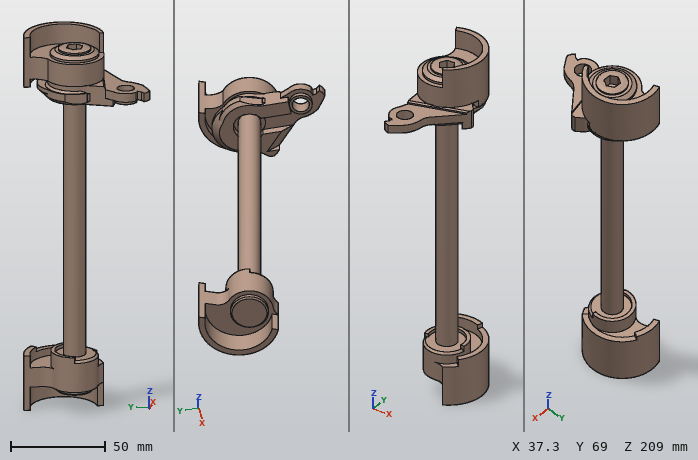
import cadquery as cq
import math


WALL_X = -2.3
WALL_Y = 5.2
WALL_OUTER_R = 21.3
WALL_INNER_R = 18.0
WALL_END_DEG = 111.0
TANGENT_HUB_R = WALL_OUTER_R - math.hypot(WALL_X, WALL_Y)
WALL_START_DEG = math.degrees(math.atan2(-WALL_Y, -WALL_X))

AXLE_D = 12.0
AXLE_HEAD_D = 20.0
AXLE_HEAD_HEIGHT = 2.7
AXLE_HEAD_CHAMFER = 0.8
AXLE_TOP_Z = 188.0

LOWER_HUB_R = 12.5
LOWER_HUB_START_DEG = 130.0
LOWER_HUB_END_DEG = 272.0
LOWER_TIP_LENGTH = 9.0
LOWER_HUB_BOTTOM_Z = 13.0
LOWER_HUB_TOP_Z = 23.8
LOWER_DISC_TOP_Z = 30.5
LOWER_DISC_CHAMFER = 1.3
LOWER_RIM_TOP_Z = 32.4
LOWER_RIM_INNER_D = 20.7
LOWER_RIM_FRONT_Y = -2.5
LOWER_WALL_LOW_TOP_Z = 28.0
LOWER_WALL_HIGH_TOP_Z = 30.5
LOWER_WALL_STEP_DEG = 65.0
LOWER_WALL_SHELF_DEG = -43.0

UPPER_TOP_Z = 209.0
UPPER_HUB_R = TANGENT_HUB_R
UPPER_HUB_START_DEG = 127.0
UPPER_TIP_LENGTH = WALL_OUTER_R - WALL_INNER_R
UPPER_HUB_BOTTOM_Z = 185.5
UPPER_HUB_TOP_Z = 198.0
UPPER_SKIRT_BOTTOM_Z = 181.2
UPPER_SKIRT_START_DEG = -10.0
UPPER_SPOTFACE_R = 13.4

BOLT_FLANGE_R = 13.0
BOLT_FLANGE_EDGE_HEIGHT = 1.3
BOLT_CONE_D = 20.7
BOLT_CONE_HEIGHT = 3.0
BOLT_STEP_R = 8.5
BOLT_STEP_HEIGHT = 3.8
BOLT_CROWN_D = 12.0
BOLT_CROWN_HEIGHT = 4.4
BOLT_SHANK_D = 17.0
HEX_CORNER_D = 9.0
HEX_DEPTH = 6.3

HANGER_TOP_Z = UPPER_HUB_BOTTOM_Z
HANGER_BOTTOM_Z = 175.0
HANGER_FLANGE_TOP_Z = UPPER_SKIRT_BOTTOM_Z
HANGER_FLANGE_R = 16.3
HANGER_FLANGE_CHAMFER = 2.0
HANGER_NECK_R = 14.2
HANGER_NECK_FLARE = 1.3
LOBE_X = 3.0
LOBE_Y = 5.0
LOBE_R = 15.5
LOBE_CHAMFER = 4.0
TAIL_TOP_Z = 184.0
TAIL_BOTTOM_Z = 179.1
TAIL_STEP_BEVEL = 0.8
EYE_X = -7.7
EYE_Y = -29.0
EYE_R = 8.5
EYE_START_DEG = 142.0
EYE_END_DEG = 230.0
EYE_HOLE_D = 9.0
EYE_BOSS_D = 12.1
EYE_BOSS_BOTTOM_Z = 176.8
TAIL_LEFT = (-12.3, -19.0)
HOOK_OUTLINE = [
    (-11.0, -36.2),
    (-11.7, -38.2),
    (-13.4, -40.1),
    (-12.0, -41.4),
    (-9.6, -42.5),
    (-7.3, -41.2),
    (-1.7, -37.2),
]
TAIL_BULGE = (0.8, -33.2)
TAIL_WAIST = (2.0, -29.3)
THROAT_MIDDLE = (2.7, -26.5)
TAIL_THROAT = (4.5, -23.8)
TAB_CORNER = (19.5, -11.0)
TAB_SIDE_LOW = (21.1, -9.2)
TAB_SIDE_HIGH = (21.1, -7.0)
TAB_INNER = (17.8, -3.0)
NECK_RIGHT = (13.4, 0.0)
NECK_LEFT = (-13.4, -3.1)
SIDE_BEND = (-12.3, -9.5)
SIDE_TOP = (-16.0, 1.9)
SLOT_LEFT_X = -4.4
SLOT_RIGHT_X = AXLE_D / 2
LEFT_PAD_Y = -23.2
UNDERCUT_RUN = 6.7
UNDERCUT_END_X = 17.5


def cylinder(radius, bottom, top, x=0.0, y=0.0):
    """Upright cylinder between two heights."""
    return cq.Workplane("XY", origin=(x, y, bottom)).circle(radius).extrude(top - bottom)


def prism(outline, bottom, top):
    """Upright prism of a straight-sided outline between two heights."""
    return cq.Workplane("XY", origin=(0, 0, bottom)).polyline(outline).close().extrude(top - bottom)


def polar(radius, degrees, x=0.0, y=0.0):
    """Point at a radius and angle about (x, y)."""
    angle = math.radians(degrees)
    return (x + radius * math.cos(angle), y + radius * math.sin(angle))


def wall_point(radius, degrees):
    return polar(radius, degrees, WALL_X, WALL_Y)


def wall_sector(start_deg, end_deg, bottom, top):
    """Stretch of the arc-shaped wall between two angles and two heights."""
    middle_deg = (start_deg + end_deg) / 2
    return (
        cq.Workplane("XY", origin=(0, 0, bottom))
        .moveTo(*wall_point(WALL_OUTER_R, start_deg))
        .threePointArc(wall_point(WALL_OUTER_R, middle_deg), wall_point(WALL_OUTER_R, end_deg))
        .lineTo(*wall_point(WALL_INNER_R, end_deg))
        .threePointArc(wall_point(WALL_INNER_R, middle_deg), wall_point(WALL_INNER_R, start_deg))
        .close()
        .extrude(top - bottom)
    )


def dropout_floor(hub_r, hub_start_deg, hub_end_deg, tip_length, bottom, top):
    """Floor that fills the wall and wraps the hub: wall arc, flat end, concave blend, hub arc."""
    wall_start = wall_point(WALL_OUTER_R, WALL_START_DEG)
    wall_middle = wall_point(WALL_OUTER_R, (WALL_START_DEG + WALL_END_DEG) / 2)
    wall_end = wall_point(WALL_OUTER_R, WALL_END_DEG)
    flat_end = wall_point(WALL_OUTER_R - tip_length, WALL_END_DEG)
    hub_middle_deg = (hub_start_deg + hub_end_deg) / 2
    outline = (
        cq.Workplane("XY", origin=(0, 0, bottom))
        .moveTo(*wall_start)
        .threePointArc(wall_middle, wall_end)
        .lineTo(*flat_end)
        .tangentArcPoint(polar(hub_r, hub_start_deg), relative=False)
        .threePointArc(polar(hub_r, hub_middle_deg), polar(hub_r, hub_end_deg))
    )
    if hub_r < TANGENT_HUB_R:
        outline = outline.tangentArcPoint(wall_start, relative=False)
    return outline.close().extrude(top - bottom)


def make_lower_dropout():
    body = dropout_floor(LOWER_HUB_R, LOWER_HUB_START_DEG, LOWER_HUB_END_DEG, LOWER_TIP_LENGTH,
                         LOWER_HUB_BOTTOM_Z, LOWER_HUB_TOP_Z)
    body = body.union(wall_sector(WALL_START_DEG, WALL_END_DEG, 0.0, LOWER_HUB_TOP_Z))

    low = wall_sector(LOWER_WALL_SHELF_DEG, WALL_END_DEG, LOWER_HUB_TOP_Z, LOWER_WALL_LOW_TOP_Z)
    high = wall_sector(LOWER_WALL_STEP_DEG, WALL_END_DEG, LOWER_HUB_TOP_Z, LOWER_WALL_HIGH_TOP_Z)
    body = body.union(low).union(high)

    disc = cylinder(LOWER_HUB_R, LOWER_HUB_TOP_Z, LOWER_DISC_TOP_Z).faces(">Z").chamfer(LOWER_DISC_CHAMFER)
    rim = cylinder(LOWER_HUB_R, LOWER_HUB_TOP_Z, LOWER_RIM_TOP_Z)
    rim = rim.cut(cylinder(LOWER_RIM_INNER_D / 2, LOWER_DISC_TOP_Z, LOWER_RIM_TOP_Z))
    front_half = prism([(-LOWER_HUB_R, LOWER_RIM_FRONT_Y), (-LOWER_HUB_R, -LOWER_HUB_R),
                        (LOWER_HUB_R, -LOWER_HUB_R), (LOWER_HUB_R, LOWER_RIM_FRONT_Y)],
                       LOWER_HUB_TOP_Z, LOWER_RIM_TOP_Z)
    body = body.union(disc).union(rim.cut(front_half))
    return body.cut(cylinder(AXLE_D / 2, 0.0, LOWER_RIM_TOP_Z))


def make_upper_dropout():
    body = dropout_floor(UPPER_HUB_R, UPPER_HUB_START_DEG, WALL_START_DEG + 360.0, UPPER_TIP_LENGTH,
                         UPPER_HUB_BOTTOM_Z, UPPER_HUB_TOP_Z)
    body = body.union(wall_sector(WALL_START_DEG, WALL_END_DEG, UPPER_HUB_BOTTOM_Z, UPPER_TOP_Z))
    skirt = wall_sector(UPPER_SKIRT_START_DEG, WALL_END_DEG, UPPER_SKIRT_BOTTOM_Z, UPPER_HUB_BOTTOM_Z)
    body = body.union(skirt)
    body = body.cut(cylinder(UPPER_SPOTFACE_R, UPPER_HUB_TOP_Z, UPPER_TOP_Z))
    return body.cut(cylinder(BOLT_SHANK_D / 2, UPPER_HUB_BOTTOM_Z, UPPER_HUB_TOP_Z))


def make_axle():
    head_bottom = LOWER_HUB_BOTTOM_Z - AXLE_HEAD_HEIGHT
    head = cylinder(AXLE_HEAD_D / 2, head_bottom, LOWER_HUB_BOTTOM_Z).faces("<Z").chamfer(AXLE_HEAD_CHAMFER)
    return head.union(cylinder(AXLE_D / 2, head_bottom, AXLE_TOP_Z))


def make_hanger_bolt():
    seat = UPPER_HUB_TOP_Z
    crown = seat + BOLT_CROWN_HEIGHT
    profile = [
        (0, TAIL_BOTTOM_Z),
        (BOLT_SHANK_D / 2, TAIL_BOTTOM_Z),
        (BOLT_SHANK_D / 2, seat),
        (BOLT_FLANGE_R, seat),
        (BOLT_FLANGE_R, seat + BOLT_FLANGE_EDGE_HEIGHT),
        (BOLT_CONE_D / 2, seat + BOLT_CONE_HEIGHT),
        (BOLT_STEP_R, seat + BOLT_CONE_HEIGHT),
        (BOLT_STEP_R, seat + BOLT_STEP_HEIGHT),
        (BOLT_CROWN_D / 2, crown),
        (0, crown),
    ]
    bolt = cq.Workplane("XZ").polyline(profile).close().revolve(360, (0, 0, 0), (0, 1, 0))
    socket = cq.Workplane("XY", origin=(0, 0, crown)).polygon(6, HEX_CORNER_D).extrude(-HEX_DEPTH)
    return bolt.cut(socket).cut(cylinder(AXLE_D / 2, TAIL_BOTTOM_Z, AXLE_TOP_Z))


def make_hanger_flange():
    """Round flange under the dropout with a bevelled lobe on the +Y side, and the neck above it."""
    flange = cylinder(HANGER_FLANGE_R, HANGER_BOTTOM_Z, HANGER_FLANGE_TOP_Z)
    flange = flange.faces("<Z").chamfer(HANGER_FLANGE_CHAMFER)
    trim_x = -HANGER_FLANGE_R
    side_trim = prism([SIDE_TOP, SIDE_BEND, (trim_x, SIDE_BEND[1]), (trim_x, SIDE_TOP[1])],
                      HANGER_BOTTOM_Z, HANGER_FLANGE_TOP_Z)
    flange = flange.cut(side_trim)
    lobe = cylinder(LOBE_R, HANGER_BOTTOM_Z, HANGER_FLANGE_TOP_Z, LOBE_X, LOBE_Y)
    lobe = lobe.faces("<Z").chamfer(LOBE_CHAMFER)
    neck = cylinder(HANGER_NECK_R, HANGER_FLANGE_TOP_Z, HANGER_TOP_Z)
    flare = cq.Workplane("XY").add(cq.Solid.makeCone(
        HANGER_NECK_R + HANGER_NECK_FLARE, HANGER_NECK_R, HANGER_NECK_FLARE,
        pnt=cq.Vector(0, 0, HANGER_FLANGE_TOP_Z)))
    return flange.union(lobe).union(neck).union(flare)


def tail_edge_y(x):
    """Y of the straight tail edge between the throat and the tab."""
    slope = (TAB_CORNER[1] - TAIL_THROAT[1]) / (TAB_CORNER[0] - TAIL_THROAT[0])
    return TAIL_THROAT[1] + slope * (x - TAIL_THROAT[0])


def make_undercut():
    """Wedge along the straight tail edge that slopes the underside back towards the axle."""
    start_y = tail_edge_y(SLOT_RIGHT_X)
    section = cq.Wire.makePolygon([
        cq.Vector(SLOT_RIGHT_X, start_y, TAIL_BOTTOM_Z),
        cq.Vector(SLOT_RIGHT_X, start_y + UNDERCUT_RUN, HANGER_BOTTOM_Z),
        cq.Vector(SLOT_RIGHT_X, start_y, HANGER_BOTTOM_Z),
    ], close=True)
    along_edge = cq.Vector(UNDERCUT_END_X - SLOT_RIGHT_X, tail_edge_y(UNDERCUT_END_X) - start_y, 0)
    return cq.Workplane("XY").add(cq.Solid.extrudeLinear(section, [], along_edge))


def make_hanger_body():
    """Full-height block between the flange and the tail, with the tab on the +X side."""
    tab = [TAB_CORNER, TAB_SIDE_LOW, TAB_SIDE_HIGH, TAB_INNER]
    step_middle = ((TAIL_LEFT[0] + TAB_CORNER[0]) / 2, (TAIL_LEFT[1] + TAB_CORNER[1]) / 2, HANGER_TOP_Z)
    upper = prism([SIDE_BEND, TAIL_LEFT] + tab + [NECK_RIGHT, NECK_LEFT], TAIL_BOTTOM_Z, HANGER_TOP_Z)
    upper = upper.edges(cq.selectors.NearestToPointSelector(step_middle)).chamfer(TAIL_STEP_BEVEL)

    left_pad = [NECK_LEFT, SIDE_BEND, (SIDE_BEND[0], LEFT_PAD_Y), (SLOT_LEFT_X, LEFT_PAD_Y),
                (SLOT_LEFT_X, NECK_LEFT[1])]
    right_pad = [(SLOT_RIGHT_X, tail_edge_y(SLOT_RIGHT_X))] + tab
    right_pad += [NECK_RIGHT, (SLOT_RIGHT_X, NECK_RIGHT[1])]
    body = upper.union(prism(left_pad, HANGER_BOTTOM_Z, TAIL_BOTTOM_Z))
    return body.union(prism(right_pad, HANGER_BOTTOM_Z, TAIL_BOTTOM_Z).cut(make_undercut()))


def make_hanger_tail():
    """Thin tail with the round eye and the stop hook at its end."""
    tail = (
        cq.Workplane("XY", origin=(0, 0, TAIL_BOTTOM_Z))
        .moveTo(*TAIL_LEFT)
        .lineTo(*polar(EYE_R, EYE_START_DEG, EYE_X, EYE_Y))
        .threePointArc((EYE_X - EYE_R, EYE_Y), polar(EYE_R, EYE_END_DEG, EYE_X, EYE_Y))
        .polyline(HOOK_OUTLINE, includeCurrent=True)
        .threePointArc(TAIL_BULGE, TAIL_WAIST)
        .threePointArc(THROAT_MIDDLE, TAIL_THROAT)
        .lineTo(*TAB_CORNER)
        .close()
        .extrude(TAIL_TOP_Z - TAIL_BOTTOM_Z)
    )
    return tail.union(cylinder(EYE_BOSS_D / 2, EYE_BOSS_BOTTOM_Z, TAIL_BOTTOM_Z, EYE_X, EYE_Y))


def make_hanger():
    slot = prism([(SLOT_LEFT_X, 0), (SLOT_LEFT_X, -HANGER_FLANGE_R), (SLOT_RIGHT_X, -HANGER_FLANGE_R),
                  (SLOT_RIGHT_X, 0)], HANGER_BOTTOM_Z, TAIL_BOTTOM_Z)
    hanger = make_hanger_flange().cut(slot).union(make_hanger_body()).union(make_hanger_tail())
    hanger = hanger.cut(cylinder(EYE_HOLE_D / 2, EYE_BOSS_BOTTOM_Z, TAIL_TOP_Z, EYE_X, EYE_Y))
    return hanger.cut(cylinder(BOLT_SHANK_D / 2, HANGER_BOTTOM_Z, HANGER_TOP_Z))


lower_dropout = make_lower_dropout()
upper_dropout = make_upper_dropout()
axle = make_axle()
hanger_bolt = make_hanger_bolt()
hanger = make_hanger()

result = cq.Compound.makeCompound(
    [lower_dropout.val(), upper_dropout.val(), axle.val(), hanger_bolt.val(), hanger.val()]
)